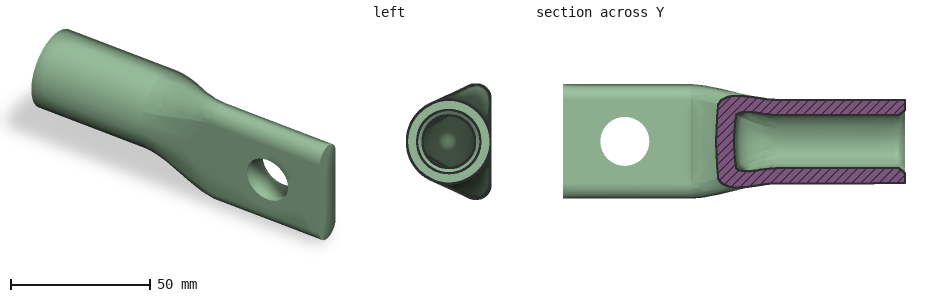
import cadquery as cq
import math

total_length = 123.0
barrel_diameter = 30.1
barrel_length = 46.1
neck_length = 30.8
palm_width = 41.2
palm_thickness = 10.7
bolt_hole_diameter = 17.6
bolt_hole_x = 100.8
bore_diameter = 19.0
mouth_diameter = 22.8
mouth_depth = 2.5
slit_thickness = 0.5
flat_arc_angle = 60.0
tangent_run = 4.9

barrel_radius = barrel_diameter / 2
palm_start = barrel_length + neck_length
palm_length = total_length - palm_start
palm_center_y = (palm_thickness - barrel_diameter) / 2
slit_width = palm_width - palm_thickness + slit_thickness


def tube(diameter, length):
    """Solid cylinder along the barrel axis, starting at the open end."""
    return cq.Workplane("YZ").circle(diameter / 2).extrude(length)


def round_section(x, diameter):
    """Circle in four arcs: front, top, back and bottom."""
    radius = diameter / 2
    half_angle = math.radians(flat_arc_angle / 2)
    y = radius * math.cos(half_angle)
    z = radius * math.sin(half_angle)
    return (
        cq.Workplane("YZ", origin=(x, 0, 0))
        .moveTo(-y, -z)
        .threePointArc((-radius, 0), (-y, z))
        .threePointArc((0, radius), (y, z))
        .threePointArc((radius, 0), (y, -z))
        .threePointArc((0, -radius), (-y, -z))
        .close()
    )


def flat_section(x, width, thickness):
    """Round-ended slot on the palm centre plane, with its long side along Z."""
    y = thickness / 2
    z = width / 2 - y
    return (
        cq.Workplane("YZ", origin=(x, palm_center_y, 0))
        .moveTo(-y, -z)
        .lineTo(-y, z)
        .threePointArc((0, width / 2), (y, z))
        .lineTo(y, -z)
        .threePointArc((0, -width / 2), (-y, -z))
        .close()
    )


def neck_blend(diameter, width, thickness):
    """S-shaped blend from a circle to a slot, trimmed to the neck length."""
    sections = [
        round_section(barrel_length - tangent_run, diameter),
        round_section(barrel_length, diameter),
        flat_section(palm_start, width, thickness),
        flat_section(palm_start + tangent_run, width, thickness),
    ]
    blend = cq.Solid.makeLoft([section.val() for section in sections])
    neck_zone = cq.Workplane("YZ", origin=(barrel_length, 0, 0)).rect(2 * palm_width, 2 * palm_width)
    return neck_zone.extrude(neck_length).intersect(cq.Workplane(blend))


def make_mouth():
    """Tapered entry to the bore."""
    return (
        cq.Workplane("YZ")
        .circle(mouth_diameter / 2)
        .workplane(offset=mouth_depth)
        .circle(bore_diameter / 2)
        .loft()
    )


barrel = tube(barrel_diameter, barrel_length)
neck = neck_blend(barrel_diameter, palm_width, palm_thickness)
palm = flat_section(palm_start, palm_width, palm_thickness).extrude(palm_length)
body = barrel.union(neck).union(palm)

socket = tube(bore_diameter, barrel_length).union(make_mouth())
neck_hollow = neck_blend(bore_diameter, slit_width, slit_thickness)

bolt_hole = (
    cq.Workplane("XZ", origin=(bolt_hole_x, barrel_radius, 0))
    .circle(bolt_hole_diameter / 2)
    .extrude(barrel_diameter)
)

result = body.cut(socket).cut(neck_hollow).cut(bolt_hole)